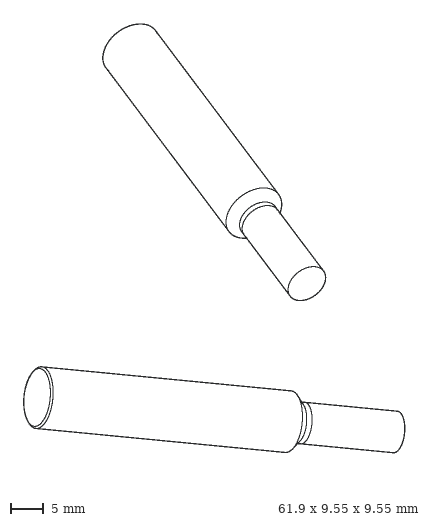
import cadquery as cq

total_length = 61.9
body_diameter = 9.55
shank_diameter = 6.45

barrel_length = 43.4
neck_length = 0.9
end_chamfer = 0.3

body_radius = body_diameter / 2
shank_radius = shank_diameter / 2
taper_length = body_radius - shank_radius
body_length = barrel_length + taper_length + neck_length
shank_length = total_length - body_length
body_start = -total_length / 2
shank_start = body_start + body_length


def end_plane(x):
    """YZ plane at position x, facing +X."""
    return cq.Workplane("YZ", origin=(x, 0, 0))


def make_body():
    """Round barrel with a chamfered end, tapering to a short neck."""
    barrel = end_plane(body_start).circle(body_radius).extrude(barrel_length + taper_length)
    barrel = barrel.faces("<X").chamfer(end_chamfer)
    barrel = barrel.faces(">X").chamfer(taper_length)
    neck = end_plane(shank_start - neck_length).circle(shank_radius).extrude(neck_length)
    return barrel.union(neck)


def make_shank():
    """Plain cylinder that butts against the neck."""
    return end_plane(shank_start).circle(shank_radius).extrude(shank_length)


body = make_body()
shank = make_shank()
result = cq.Compound.makeCompound([body.val(), shank.val()])